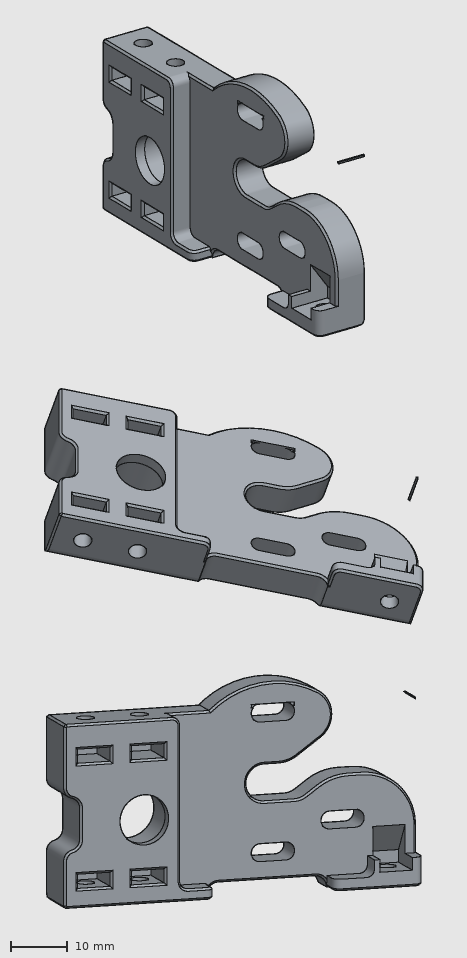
import cadquery as cq
import math


length = 66.5
depth = 10.0
plate_depth = 6.0
block_height = 33.0
block_width = 21.5
edge_chamfer = 0.4
corner_diameter = 3.0
corner_radius = corner_diameter / 2

plate_start = 13.3
plate_bottom = 2.1
left_foot_end = 27.8
right_foot_start = 50.0

upper_center = (39.95, 20.0)
upper_radius = 17.5
upper_tip_radius = 5.0
upper_tip_angle = 61.1
slope_angle = 35.0
throat_end_x = 38.4
throat_low = 16.15
throat_high = 22.75
throat_upper_radius = 6.0
throat_lower_radius = 3.6

lower_radius = 10.0
lower_center = (length - lower_radius, 10.2)
lower_flat = 2.6

slot_length = 8.0
slot_width = 3.2
slot_centers = [(39.95, 7.0), (52.9, 12.05), (39.95, 32.0)]
slot_recess_depth = edge_chamfer

notch_center_z = 15.0
notch_depth = 3.0
notch_flat = 5.45
notch_opening = 13.2
bore_center = (14.8, 15.0)
bore_diameter = 9.0
counterbore_diameter = 10.1
bore_lip = 2.0

screw_diameter = 3.2
screw_depth = 5.0
screw_xs = (5.6, 15.55)
pocket_width = 6.05
pocket_height = 2.5
pocket_zs = (4.7, 27.1)
pocket_back = 2.3

foot_height = 2.1
lug_height = 5.2
lug_start = 57.45
nut_slot_x = 61.45
nut_slot_width = 6.0
nut_slot_floor = 2.9
nut_slot_top = 10.4

sliver_leg = 0.3
sliver_depth = plate_depth - edge_chamfer


def polar(center, radius, degrees):
    angle = math.radians(degrees)
    return (center[0] + radius * math.cos(angle), center[1] + radius * math.sin(angle))


def add_arc(wire, center, radius, start, end):
    """Continue the wire along a circle from the start angle to the end angle."""
    middle = polar(center, radius, (start + end) / 2)
    return wire.threePointArc(middle, polar(center, radius, end))


def make_box(x_min, x_max, z_min, z_max, y_min, y_max):
    size = (x_max - x_min, y_max - y_min, z_max - z_min)
    return cq.Workplane("XY").box(*size, centered=False).translate((x_min, y_min, z_min))


def make_plate():
    slope = math.tan(math.radians(slope_angle))
    tip_center = polar(upper_center, upper_radius - upper_tip_radius, upper_tip_angle)
    lobe_start_angle = 180 - math.degrees(math.asin((block_height - upper_center[1]) / upper_radius))
    slope_normal = slope_angle - 90

    tip_end = polar(tip_center, upper_tip_radius, slope_normal)
    roof_corner_x = tip_end[0] - (tip_end[1] - throat_high) / slope
    roof_tangent = throat_upper_radius * math.tan(math.radians(slope_angle / 2))
    roof_center = (roof_corner_x - roof_tangent, throat_high + throat_upper_radius)

    crest_center = (lower_center[0] - lower_flat, lower_center[1])
    crest_start = polar(crest_center, lower_radius, slope_normal + 180)
    floor_corner_x = crest_start[0] - (crest_start[1] - throat_low) / slope
    floor_tangent = throat_lower_radius * math.tan(math.radians(slope_angle / 2))
    floor_center = (floor_corner_x - floor_tangent, throat_low + throat_lower_radius)

    throat_radius = (throat_high - throat_low) / 2
    throat_center = (throat_end_x, throat_low + throat_radius)

    wire = cq.Workplane("XZ").moveTo(plate_start, 0).lineTo(plate_start, block_height)
    wire = wire.lineTo(*polar(upper_center, upper_radius, lobe_start_angle))
    wire = add_arc(wire, upper_center, upper_radius, lobe_start_angle, upper_tip_angle)
    wire = add_arc(wire, tip_center, upper_tip_radius, upper_tip_angle, slope_normal)
    wire = wire.lineTo(*polar(roof_center, throat_upper_radius, slope_normal))
    wire = add_arc(wire, roof_center, throat_upper_radius, slope_normal, -90)
    wire = wire.lineTo(throat_end_x, throat_high)
    wire = add_arc(wire, throat_center, throat_radius, 90, 270)
    wire = wire.lineTo(floor_center[0], throat_low)
    wire = add_arc(wire, floor_center, throat_lower_radius, -90, slope_normal)
    wire = wire.lineTo(*crest_start)
    wire = add_arc(wire, crest_center, lower_radius, slope_normal + 180, 90)
    wire = wire.lineTo(*polar(lower_center, lower_radius, 90))
    wire = add_arc(wire, lower_center, lower_radius, 90, 0)
    wire = wire.lineTo(length, edge_chamfer).lineTo(length - edge_chamfer, 0)
    wire = wire.lineTo(right_foot_start, 0)
    wire = add_arc(wire, (right_foot_start - plate_bottom, 0), plate_bottom, 0, 90)
    wire = wire.lineTo(left_foot_end + plate_bottom, plate_bottom)
    wire = add_arc(wire, (left_foot_end + plate_bottom, 0), plate_bottom, 90, 180)
    plate = wire.close().extrude(plate_depth)
    return plate.faces("<Y").edges().chamfer(edge_chamfer)


def add_notch(wire):
    """Run down the left side of the block through the notch with its S-shaped sides."""
    half_flat = notch_flat / 2
    half_opening = notch_opening / 2
    side_height = half_opening - half_flat
    turn = 2 * math.degrees(math.atan(notch_depth / side_height))
    radius = side_height / (2 * math.sin(math.radians(turn)))
    inner_x = notch_depth - radius

    wire = wire.lineTo(0, notch_center_z + half_opening)
    wire = add_arc(wire, (radius, notch_center_z + half_opening), radius, 180, 180 + turn)
    wire = add_arc(wire, (inner_x, notch_center_z + half_flat), radius, turn, 0)
    wire = wire.lineTo(notch_depth, notch_center_z - half_flat)
    wire = add_arc(wire, (inner_x, notch_center_z - half_flat), radius, 0, -turn)
    return add_arc(wire, (radius, notch_center_z - half_opening), radius, 180 - turn, 180)


def make_block():
    """Thick left block with its side notch and the left foot."""
    round_x = block_width - corner_radius
    root_center = (block_width + corner_radius, foot_height + corner_radius)

    wire = cq.Workplane("XZ").moveTo(edge_chamfer, block_height)
    wire = wire.lineTo(0, block_height - edge_chamfer)
    wire = add_notch(wire)
    wire = wire.lineTo(0, edge_chamfer).lineTo(edge_chamfer, 0)
    wire = wire.lineTo(left_foot_end, 0).lineTo(left_foot_end, foot_height)
    wire = wire.lineTo(root_center[0], foot_height)
    wire = add_arc(wire, root_center, corner_radius, 270, 180)
    wire = wire.lineTo(block_width, block_height - corner_radius)
    wire = add_arc(wire, (round_x, block_height - corner_radius), corner_radius, 0, 90)
    block = wire.close().extrude(depth)
    block = block.edges("|Z and >X and <Y").fillet(corner_radius)
    return block.faces("<Y").edges().chamfer(edge_chamfer)


def make_right_foot():
    """Right foot with the raised lug at its end."""
    root_center = (lug_start - corner_radius, foot_height + corner_radius)

    wire = cq.Workplane("XZ").moveTo(right_foot_start, 0).lineTo(length, 0)
    wire = wire.lineTo(length, lug_height).lineTo(lug_start, lug_height)
    wire = wire.lineTo(lug_start, root_center[1])
    wire = add_arc(wire, root_center, corner_radius, 0, -90)
    wire = wire.lineTo(right_foot_start, foot_height)
    foot = wire.close().extrude(depth)
    foot = foot.faces("<Y").edges("|Z").edges("<X or >X").fillet(corner_radius)
    return foot.faces("<Z").edges("not >Y").chamfer(edge_chamfer)


def cut_slots(body):
    slots = cq.Workplane("XZ").pushPoints(slot_centers).slot2D(slot_length, slot_width)
    body = body.cut(slots.extrude(plate_depth))

    center_x, center_z = slot_centers[-1]
    recess = make_box(
        center_x - slot_length / 2, center_x + slot_length / 2,
        block_height, center_z + slot_width / 2,
        -plate_depth, slot_recess_depth - plate_depth,
    )
    return body.cut(recess)


def cut_bore(body):
    bore = cq.Workplane("XZ").center(*bore_center).circle(bore_diameter / 2).extrude(depth)
    wide = cq.Workplane("XZ").center(*bore_center).circle(counterbore_diameter / 2)
    return body.cut(bore).cut(wide.extrude(depth - bore_lip))


def make_nut_pocket(center_x, center_z):
    """Pocket open to the front, with a chamfered mouth."""
    pocket = make_box(
        center_x - pocket_width / 2, center_x + pocket_width / 2,
        center_z - pocket_height / 2, center_z + pocket_height / 2,
        -depth, -pocket_back,
    )
    mouth = (
        cq.Workplane("XZ", origin=(center_x, -depth, center_z))
        .rect(pocket_width + 2 * edge_chamfer, pocket_height + 2 * edge_chamfer)
        .workplane(offset=-edge_chamfer)
        .rect(pocket_width, pocket_height)
        .loft(ruled=True)
    )
    return pocket.union(mouth)


def make_screw_hole(center_x, z_min, z_max):
    hole = cq.Workplane("XY", origin=(center_x, -screw_depth, z_min))
    return hole.circle(screw_diameter / 2).extrude(z_max - z_min)


def cut_block_fasteners(body):
    """Nut pockets, each reached by a screw hole from the top or the bottom."""
    low_z, high_z = pocket_zs
    for center_x in screw_xs:
        for center_z in pocket_zs:
            body = body.cut(make_nut_pocket(center_x, center_z))
        body = body.cut(make_screw_hole(center_x, 0, low_z))
        body = body.cut(make_screw_hole(center_x, high_z, block_height))
    return body


def cut_foot_fastener(body):
    """Nut slot in the right foot, with a sloping roof inside the plate, and its screw hole."""
    slot = (
        cq.Workplane("YZ", origin=(nut_slot_x - nut_slot_width / 2, 0, 0))
        .moveTo(-depth, nut_slot_floor)
        .lineTo(-pocket_back, nut_slot_floor)
        .lineTo(-pocket_back, lug_height)
        .lineTo(-plate_depth, nut_slot_top)
        .lineTo(-depth, nut_slot_top)
        .close()
        .extrude(nut_slot_width)
    )
    return body.cut(slot).cut(make_screw_hole(nut_slot_x, 0, nut_slot_floor))


def make_bracket():
    body = make_plate().union(make_block()).union(make_right_foot())
    body = body.edges("|X and >Y and <Z").fillet(corner_radius)
    top_back = cq.selectors.NearestToPointSelector((plate_start, 0, block_height))
    body = body.edges(top_back).chamfer(edge_chamfer)
    body = cut_slots(body)
    body = cut_bore(body)
    body = cut_block_fasteners(body)
    return cut_foot_fastener(body)


def make_sliver():
    """Thin triangular strip, apart from the bracket, level with the top of the block."""
    outline = cq.Workplane("XZ").moveTo(length, block_height)
    outline = outline.lineTo(length - sliver_leg, block_height)
    outline = outline.lineTo(length, block_height - sliver_leg)
    return outline.close().extrude(sliver_depth)


bracket = make_bracket()
sliver = make_sliver()
result = cq.Compound.makeCompound([bracket.val(), sliver.val()])